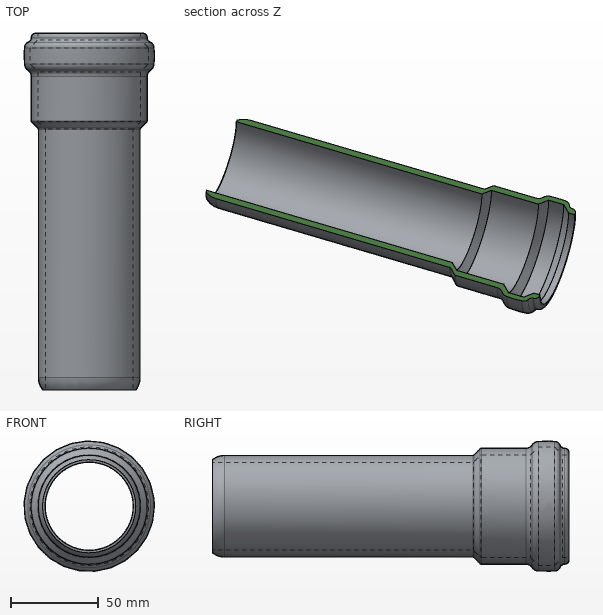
import cadquery as cq
import math

total_length = 203.0
spigot_end = -total_length / 2
mouth = total_length / 2

bore_diameter = 50.0
pipe_diameter = 58.0
spigot_tip_diameter = 53.0
socket_bore_diameter = 58.5
socket_diameter = 66.1
seal_groove_diameter = 67.6
bulge_diameter = 74.4

spigot_rounding_length = 7.0
shoulder_depth = 50.3
lower_blend_start = mouth - 24.7
bulge_start = mouth - 17.4
bulge_end = mouth - 8.3
upper_blend_end = mouth - 2.6
upper_blend_middle = mouth - 5.2
lip_rounding = 2.6

bulge_crown = 0.3
shoulder_rounding = 1.0
shoulder_angle = math.radians(45)

bore_radius = bore_diameter / 2
pipe_radius = pipe_diameter / 2
socket_bore_radius = socket_bore_diameter / 2
socket_radius = socket_diameter / 2
groove_radius = seal_groove_diameter / 2
bulge_radius = bulge_diameter / 2
bulge_edge_radius = bulge_radius - bulge_crown
blend_middle_radius = (socket_radius + bulge_edge_radius) / 2

shoulder_top = mouth - shoulder_depth
shoulder_bottom = shoulder_top - (socket_radius - pipe_radius) / math.tan(shoulder_angle)
wall_tangent = shoulder_rounding * math.tan(shoulder_angle / 2)
cone_tangent_across = wall_tangent * math.sin(shoulder_angle)
cone_tangent_along = wall_tangent * math.cos(shoulder_angle)

groove_side = groove_radius - socket_bore_radius


def tangent_arc_mid(start, end):
    """Midpoint of the arc from start to end that is parallel to the axis at start."""
    across = end[0] - start[0]
    along = end[1] - start[1]
    radius = (across**2 + along**2) / (2 * abs(across))
    half_angle = math.asin(abs(along) / radius) / 2
    return (
        start[0] + math.copysign(radius * (1 - math.cos(half_angle)), across),
        start[1] + math.copysign(radius * math.sin(half_angle), along),
    )


def outer_body():
    """Solid of revolution of the outside, from the spigot tip to the socket mouth."""
    tip = (spigot_tip_diameter / 2, spigot_end)
    spigot_rounding_end = (pipe_radius, spigot_end + spigot_rounding_length)
    foot_start = (pipe_radius, shoulder_bottom - wall_tangent)
    foot_end = (pipe_radius + cone_tangent_across, shoulder_bottom + cone_tangent_along)
    crest_start = (socket_radius - cone_tangent_across, shoulder_top - cone_tangent_along)
    crest_end = (socket_radius, shoulder_top + wall_tangent)
    lower_foot = (socket_radius, lower_blend_start)
    lower_middle = (blend_middle_radius, (lower_blend_start + bulge_start) / 2)
    bulge_low = (bulge_edge_radius, bulge_start)
    bulge_top = (bulge_radius, (bulge_start + bulge_end) / 2)
    bulge_high = (bulge_edge_radius, bulge_end)
    upper_middle = (blend_middle_radius, upper_blend_middle)
    upper_foot = (socket_radius, upper_blend_end)
    lip = (socket_radius - lip_rounding, mouth)
    return (
        cq.Workplane("XY")
        .moveTo(0, spigot_end)
        .lineTo(*tip)
        .threePointArc(tangent_arc_mid(spigot_rounding_end, tip), spigot_rounding_end)
        .lineTo(*foot_start)
        .threePointArc(tangent_arc_mid(foot_start, foot_end), foot_end)
        .lineTo(*crest_start)
        .threePointArc(tangent_arc_mid(crest_end, crest_start), crest_end)
        .lineTo(*lower_foot)
        .threePointArc(tangent_arc_mid(lower_foot, lower_middle), lower_middle)
        .threePointArc(tangent_arc_mid(bulge_low, lower_middle), bulge_low)
        .threePointArc(bulge_top, bulge_high)
        .threePointArc(tangent_arc_mid(bulge_high, upper_middle), upper_middle)
        .threePointArc(tangent_arc_mid(upper_foot, upper_middle), upper_foot)
        .threePointArc(tangent_arc_mid(upper_foot, lip), lip)
        .lineTo(0, mouth)
        .close()
        .revolve(360, (0, 0), (0, 1))
    )


def inner_cavity():
    """Solid of revolution of the inside: pipe bore, socket bore and seal groove."""
    bore_end = shoulder_top - (socket_bore_radius - bore_radius) / math.tan(shoulder_angle)
    return (
        cq.Workplane("XY")
        .moveTo(0, spigot_end)
        .lineTo(bore_radius, spigot_end)
        .lineTo(bore_radius, bore_end)
        .lineTo(socket_bore_radius, shoulder_top)
        .lineTo(socket_bore_radius, bulge_start - groove_side)
        .lineTo(groove_radius, bulge_start)
        .lineTo(groove_radius, bulge_end)
        .lineTo(socket_bore_radius, bulge_end + groove_side)
        .lineTo(socket_bore_radius, mouth)
        .lineTo(0, mouth)
        .close()
        .revolve(360, (0, 0), (0, 1))
    )


result = outer_body().cut(inner_cavity())